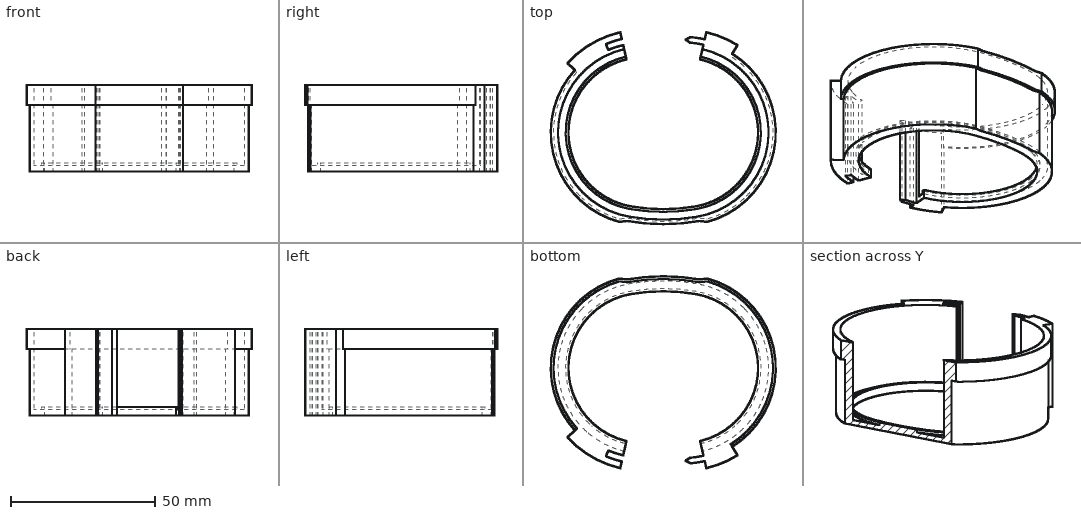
import cadquery as cq
import math

total_height = 30.0
band_height = 7.0
floor_thickness = 2.0
lip_height = 3.0

side_center_x = 6.87
flat_center_y = 40.0
band_radius = 32.14
body_radius = band_radius - 1.0
wall_inner_radius = 29.6
lip_outer_radius = 26.95
lip_inner_radius = 25.95

relief_depth = 0.9
relief_floor_half_width = 12.6
relief_edge_half_width = 15.2

clasp_radius = 35.65
gap_angle = 13.0
groove_clasp_end_angle = 47.7
tongue_clasp_end_angle = 32.0

lock_mid_radius = 32.14
groove_width = 2.1
groove_end_angle = 23.0
tongue_width = 2.0
tongue_shoulder_angle = 4.5
tongue_tip_angle = 1.4


def flat_radius(side_radius):
    """Radius of the flatter arcs that are tangent to the side arcs."""
    return math.hypot(side_center_x, flat_center_y) + side_radius


def polar(side, radius, angle):
    """Point around a side arc centre; side is +1 for +X and -1 for -X, angle runs from +Y outward."""
    a = math.radians(angle)
    return (side * (side_center_x + radius * math.sin(a)), radius * math.cos(a))


def oval(side_radius, height):
    """Solid oval standing on Z = 0."""
    tangent_angle = math.degrees(math.atan2(side_center_x, flat_center_y))
    right_x, top_y = polar(1, side_radius, tangent_angle)
    side_x = side_center_x + side_radius
    flat_y = flat_radius(side_radius) - flat_center_y
    return (
        cq.Workplane("XY")
        .moveTo(right_x, top_y)
        .threePointArc((side_x, 0), (right_x, -top_y))
        .threePointArc((0, -flat_y), (-right_x, -top_y))
        .threePointArc((-side_x, 0), (-right_x, top_y))
        .threePointArc((0, flat_y), (right_x, top_y))
        .close()
        .extrude(height)
    )


def relieved_oval(side_radius, height):
    """Solid oval with the shallow relief cut along its -Y side."""
    relief_radius = flat_radius(side_radius) - relief_depth
    relief_mid_y = flat_center_y - relief_radius
    relief_edge_y = flat_center_y - math.sqrt(relief_radius**2 - relief_floor_half_width**2)
    oval_edge_y = -math.sqrt(side_radius**2 - (relief_edge_half_width - side_center_x) ** 2)
    below_y = -2 * side_radius
    relief = (
        cq.Workplane("XY")
        .moveTo(-relief_edge_half_width, oval_edge_y)
        .lineTo(-relief_floor_half_width, relief_edge_y)
        .threePointArc((0, relief_mid_y), (relief_floor_half_width, relief_edge_y))
        .lineTo(relief_edge_half_width, oval_edge_y)
        .lineTo(relief_edge_half_width, below_y)
        .lineTo(-relief_edge_half_width, below_y)
        .close()
        .extrude(height)
    )
    return oval(side_radius, height).cut(relief)


def sector(side, inner_radius, outer_radius, start_angle, end_angle):
    """Full-height ring sector around a side arc centre."""
    mid_angle = (start_angle + end_angle) / 2
    return (
        cq.Workplane("XY")
        .moveTo(*polar(side, inner_radius, start_angle))
        .lineTo(*polar(side, outer_radius, start_angle))
        .threePointArc(polar(side, outer_radius, mid_angle), polar(side, outer_radius, end_angle))
        .lineTo(*polar(side, inner_radius, end_angle))
        .threePointArc(polar(side, inner_radius, mid_angle), polar(side, inner_radius, start_angle))
        .close()
        .extrude(total_height)
    )


def shell():
    """Oval wall with a thicker band at the top, and a floor ledge edged by a low lip."""
    band = relieved_oval(band_radius, band_height).translate((0, 0, total_height - band_height))
    outside = relieved_oval(body_radius, total_height).union(band)
    above_floor = oval(wall_inner_radius, total_height).translate((0, 0, floor_thickness))
    lip = oval(lip_outer_radius, lip_height)
    opening = oval(lip_inner_radius, total_height)
    return outside.cut(above_floor).union(lip).cut(opening)


def gap():
    """Opening on the +Y side, bounded by a radial line from each side arc centre."""
    reach = 2 * clasp_radius
    corners = [
        polar(-1, 0, gap_angle),
        polar(1, 0, gap_angle),
        polar(1, reach, gap_angle),
        polar(-1, reach, gap_angle),
    ]
    return cq.Workplane("XY").polyline(corners).close().extrude(total_height)


def clasp(side, end_angle):
    """Raised block beside the gap."""
    return sector(side, wall_inner_radius, clasp_radius, gap_angle, end_angle)


def groove():
    """Slot that opens into the gap on the -X side."""
    half_width = groove_width / 2
    return sector(-1, lock_mid_radius - half_width, lock_mid_radius + half_width, 0, groove_end_angle)


def tongue():
    """Curved tab with a pointed tip, reaching into the gap from the +X side."""
    inner_radius = lock_mid_radius - tongue_width / 2
    outer_radius = lock_mid_radius + tongue_width / 2
    root_angle = (gap_angle + tongue_clasp_end_angle) / 2
    tab = sector(1, inner_radius, outer_radius, tongue_shoulder_angle, root_angle)
    tip_corners = [
        polar(1, inner_radius, tongue_shoulder_angle),
        polar(1, lock_mid_radius, tongue_tip_angle),
        polar(1, outer_radius, tongue_shoulder_angle),
    ]
    tip = cq.Workplane("XY").polyline(tip_corners).close().extrude(total_height)
    return tab.union(tip)


result = (
    shell()
    .cut(gap())
    .union(clasp(-1, groove_clasp_end_angle))
    .union(clasp(1, tongue_clasp_end_angle))
    .cut(groove())
    .union(tongue())
)